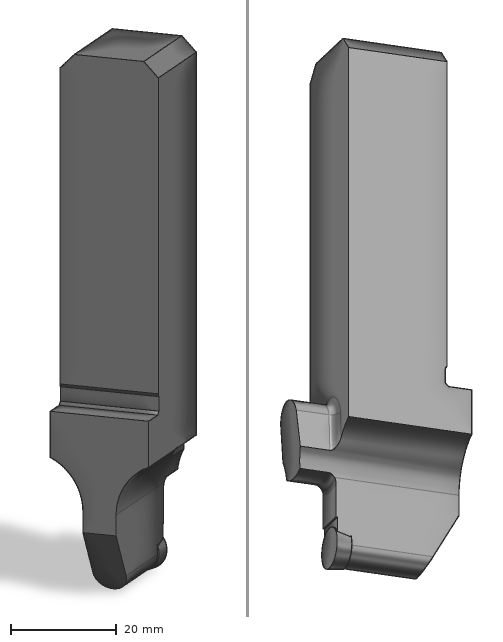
import cadquery as cq
import math

LENGTH = 105.0
WIDTH = 20.0
SHANK_DEPTH = 20.0
TOP_CHAMFER = 2.9

FOOT_DEPTH = 25.0
LEDGE_Z = 36.1
RELIEF_DEPTH = 0.3
RELIEF_TOP_Z = 40.2
RELIEF_RAMP = 0.6
RELIEF_CORNER = 0.6
SLOPE_ANGLE = 60.0
SLOPE_TOP_Z = 13.0

BLADE_HALF = 3.4
NOSE_Z = 3.9
SHOULDER_Z = 27.1
BLADE_TOP_Z = 17.1
SHOULDER_RISE = SHOULDER_Z - BLADE_TOP_Z
SHOULDER_RUN = WIDTH / 2 - BLADE_HALF
SHOULDER_RADIUS = (SHOULDER_RISE**2 + SHOULDER_RUN**2) / (2 * SHOULDER_RUN)

INSERT_DIAMETER = 8.1
INSERT_RADIUS = INSERT_DIAMETER / 2
INSERT_THICKNESS = 3.2
CLEARANCE_ANGLE = 7.0
INSERT_BACK_RADIUS = INSERT_RADIUS - INSERT_THICKNESS * math.tan(math.radians(CLEARANCE_ANGLE))
INSERT_Z = INSERT_RADIUS

CHIP_RELIEF_DEPTH = 0.3
CHIP_RELIEF_TOP_Z = 9.1

BOSS_LENGTH = 8.6
BOSS_TOP_Z = 32.7
BOSS_FLANK_TOP_Z = 29.4
BOSS_FLANK_BOTTOM_Z = 18.8
BOSS_BOTTOM_Z = 17.1
BOSS_TOP_WIDTH = 8.1
BOSS_TOP_HALF = BOSS_TOP_WIDTH / 2
BOSS_BOTTOM_HALF = 4.7
BOSS_END_ANGLE = 5.0
BOSS_FILLET = 1.7
ROOT_PLATE_THICKNESS = 1.0
ROOT_TOLERANCE = 0.1


def front_outline():
    """Front outline of the whole holder, on the rear face and facing -Y."""
    half = WIDTH / 2
    mid_angle = math.asin(SHOULDER_RISE / SHOULDER_RADIUS) / 2
    mid_x = BLADE_HALF + SHOULDER_RADIUS * (1 - math.cos(mid_angle))
    mid_z = BLADE_TOP_Z + SHOULDER_RADIUS * math.sin(mid_angle)
    return (
        cq.Workplane("XZ")
        .moveTo(-half + TOP_CHAMFER, LENGTH)
        .lineTo(half - TOP_CHAMFER, LENGTH)
        .lineTo(half, LENGTH - TOP_CHAMFER)
        .lineTo(half, SHOULDER_Z)
        .threePointArc((mid_x, mid_z), (BLADE_HALF, BLADE_TOP_Z))
        .lineTo(BLADE_HALF, NOSE_Z)
        .threePointArc((0, NOSE_Z - BLADE_HALF), (-BLADE_HALF, NOSE_Z))
        .lineTo(-BLADE_HALF, BLADE_TOP_Z)
        .threePointArc((-mid_x, mid_z), (-half, SHOULDER_Z))
        .lineTo(-half, LENGTH - TOP_CHAMFER)
        .close()
    )


def side_envelope():
    """Side outline: shank, relief groove, ledge, foot and sloped nose."""
    relief_y = -SHANK_DEPTH + RELIEF_DEPTH
    slope_bottom_y = -FOOT_DEPTH + SLOPE_TOP_Z / math.tan(math.radians(SLOPE_ANGLE))
    return (
        cq.Workplane("YZ")
        .moveTo(0, 0)
        .lineTo(0, LENGTH)
        .lineTo(-SHANK_DEPTH, LENGTH)
        .lineTo(-SHANK_DEPTH, RELIEF_TOP_Z)
        .lineTo(relief_y, RELIEF_TOP_Z - RELIEF_RAMP)
        .lineTo(relief_y, LEDGE_Z + RELIEF_CORNER)
        .lineTo(relief_y - RELIEF_CORNER, LEDGE_Z)
        .lineTo(-FOOT_DEPTH, LEDGE_Z)
        .lineTo(-FOOT_DEPTH, SLOPE_TOP_Z)
        .lineTo(slope_bottom_y, 0)
        .close()
        .extrude(WIDTH, both=True)
    )


def make_boss():
    """Round-topped boss with a fillet at its root and a slanted end, trimmed to the shoulders."""
    root_plate = cq.Workplane("XZ").rect(2 * LENGTH, 2 * LENGTH).extrude(ROOT_PLATE_THICKNESS)
    boss = (
        cq.Workplane("XZ")
        .moveTo(-BOSS_TOP_HALF, BOSS_FLANK_TOP_Z)
        .threePointArc((0, BOSS_TOP_Z), (BOSS_TOP_HALF, BOSS_FLANK_TOP_Z))
        .lineTo(BOSS_BOTTOM_HALF, BOSS_FLANK_BOTTOM_Z)
        .threePointArc((0, BOSS_BOTTOM_Z), (-BOSS_BOTTOM_HALF, BOSS_FLANK_BOTTOM_Z))
        .close()
        .extrude(-BOSS_LENGTH)
    )
    root_edges = cq.selectors.BoxSelector(
        (-WIDTH, -ROOT_TOLERANCE, 0), (WIDTH, ROOT_TOLERANCE, SHOULDER_Z + WIDTH)
    )
    filleted = root_plate.union(boss).edges(root_edges).fillet(BOSS_FILLET)

    end_bottom_y = BOSS_LENGTH - BOSS_TOP_Z * math.tan(math.radians(BOSS_END_ANGLE))
    end_envelope = (
        cq.Workplane("YZ")
        .polyline([(0, 0), (end_bottom_y, 0), (BOSS_LENGTH, BOSS_TOP_Z), (BOSS_LENGTH, LENGTH), (0, LENGTH)])
        .close()
        .extrude(WIDTH, both=True)
    )
    return filleted.intersect(end_envelope).intersect(front_outline().extrude(-BOSS_LENGTH))


def make_insert():
    """Tapered round disc, its larger face flush with the rear face of the blade."""
    return (
        cq.Workplane("XZ", origin=(0, 0, INSERT_Z))
        .circle(INSERT_RADIUS)
        .workplane(offset=INSERT_THICKNESS)
        .circle(INSERT_BACK_RADIUS)
        .loft()
    )


def make_holder(insert):
    """Shank, foot, blade and boss in one piece, with a seat for the insert."""
    holder = front_outline().extrude(FOOT_DEPTH).intersect(side_envelope())
    chip_relief = (
        cq.Workplane("XY")
        .rect(WIDTH, 2 * CHIP_RELIEF_DEPTH)
        .extrude(CHIP_RELIEF_TOP_Z)
    )
    return holder.union(make_boss()).cut(chip_relief).cut(insert)


insert = make_insert()
holder = make_holder(insert)

result = cq.Compound.makeCompound([holder.val(), insert.val()])